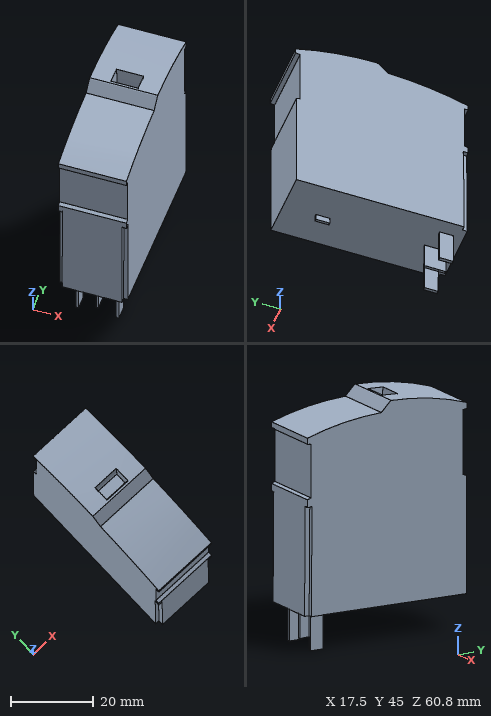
import cadquery as cq

width = 17.5

front_foot_y = -0.2
back_y = 44.6
roof_back_y = 44.8
neck_inset = 1.0
bottom_front_z = 9.5
bottom_back_z = 9.25
shoulder_z = 39.0
shoulder_rise = 0.35
lip_height = 1.5
lip_slope = 0.2

front_roof_z = 54.5
back_roof_z = 57.3
step_low = (20.7, 58.1)
step_high = (23.15, 60.6)
peak = (23.45, 60.8)
front_arc_middle = (10.45, 57.1)
back_arc_middle = (34.05, 59.95)

rebate_width = 1.1
rebate_depth = 1.3
rebate_top_z = 37.1

window_length = 7.0
window_width = 4.25
window_center_y = 26.2
mouth_depth = 2.75
well_length = 6.45
well_width = 3.2
well_depth = 1.8

pin_row_x = 0.4
pin_spacing = 5.15
outer_pin_breadth = 3.6
outer_pin_thickness = 0.8
pin_front_y = 2.5
center_pin_thickness = 0.6
center_pin_breadth = 5.5
center_pin_tip_z = 1.9
back_peg_y = 32.6
back_peg_breadth = 3.6
back_peg_tip_z = 7.55
pin_root_z = bottom_front_z + 0.6


def make_housing():
    neck_back_y = back_y - neck_inset
    front_lip_z = front_roof_z - lip_height
    back_lip_z = back_roof_z - lip_height
    return (
        cq.Workplane("YZ", origin=(-width / 2, 0, 0))
        .moveTo(front_foot_y, bottom_front_z)
        .lineTo(0, shoulder_z)
        .lineTo(neck_inset, shoulder_z + shoulder_rise)
        .lineTo(neck_inset, front_lip_z - lip_slope)
        .lineTo(0, front_lip_z)
        .lineTo(0, front_roof_z)
        .threePointArc(front_arc_middle, step_low)
        .lineTo(*step_high)
        .lineTo(*peak)
        .threePointArc(back_arc_middle, (roof_back_y, back_roof_z))
        .lineTo(roof_back_y, back_lip_z)
        .lineTo(neck_back_y, back_lip_z - lip_slope)
        .lineTo(neck_back_y, shoulder_z + shoulder_rise)
        .lineTo(back_y, shoulder_z)
        .lineTo(back_y, bottom_back_z)
        .close()
        .extrude(width)
    )


def make_rebate(start_x):
    """Corner cutter whose back face leans like the front wall."""
    outer_y = front_foot_y - 0.6
    return (
        cq.Workplane("YZ", origin=(start_x, 0, 0))
        .moveTo(outer_y, 0)
        .lineTo(front_foot_y + rebate_depth, 0)
        .lineTo(front_foot_y + rebate_depth, bottom_front_z)
        .lineTo(rebate_depth, rebate_top_z)
        .lineTo(outer_y, rebate_top_z)
        .close()
        .extrude(rebate_width)
    )


def make_window():
    mouth = (
        cq.Workplane("XY", origin=(0, window_center_y, peak[1]))
        .rect(window_length, window_width)
        .workplane(offset=-mouth_depth)
        .rect(well_length, well_width)
        .loft(ruled=True)
    )
    well = (
        cq.Workplane("XY", origin=(0, window_center_y, peak[1] - mouth_depth))
        .rect(well_length, well_width)
        .extrude(-well_depth)
    )
    return mouth.union(well)


def make_pin(center_x, front_y, thickness, breadth, tip_z):
    return cq.Workplane("XY", origin=(center_x, front_y, tip_z)).box(
        thickness, breadth, pin_root_z - tip_z, centered=(True, False, False)
    )


result = make_housing()
for rebate_x in (-width / 2, width / 2 - rebate_width):
    result = result.cut(make_rebate(rebate_x))
result = result.cut(make_window())

for side in (-1, 1):
    outer_pin_x = pin_row_x + side * pin_spacing
    result = result.union(
        make_pin(outer_pin_x, pin_front_y, outer_pin_thickness, outer_pin_breadth, 0)
    )
result = result.union(
    make_pin(pin_row_x, pin_front_y, center_pin_thickness, center_pin_breadth, center_pin_tip_z)
)
result = result.union(
    make_pin(pin_row_x, back_peg_y, center_pin_thickness, back_peg_breadth, back_peg_tip_z)
)